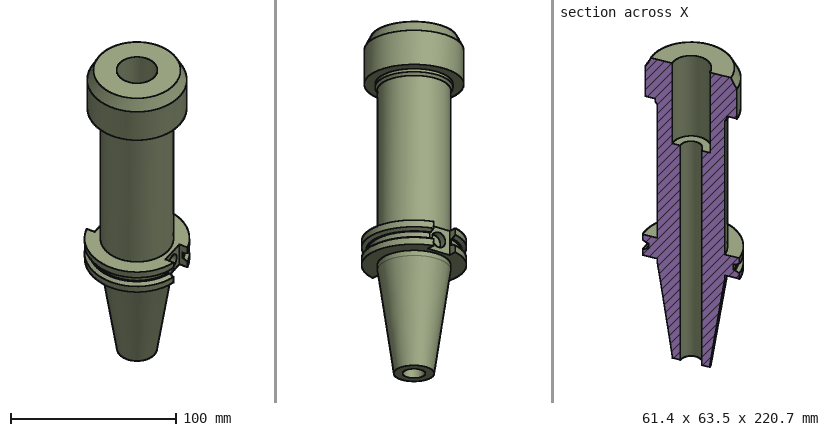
import cadquery as cq
import math


GAUGE_RADIUS = 44.45 / 2
TAPER_LENGTH = 68.25
TAPER_RATIO = 7 / 24
TAPER_TIP_RADIUS = GAUGE_RADIUS - TAPER_LENGTH * TAPER_RATIO / 2

FLANGE_RADIUS = 63.5 / 2
FLANGE_BOTTOM = 3.175
FLANGE_TOP = 19.05
FLANGE_MIDDLE = (FLANGE_BOTTOM + FLANGE_TOP) / 2
GROOVE_FLOOR_RADIUS = 28.05
GROOVE_FLOOR_WIDTH = 3.88
GROOVE_STEP = 1.0
GROOVE_FLANK_ANGLE = 30.0
GROOVE_FLANK_RADIUS = GROOVE_FLOOR_RADIUS + GROOVE_STEP
GROOVE_FLANK_RISE = (FLANGE_RADIUS - GROOVE_FLANK_RADIUS) * math.tan(math.radians(GROOVE_FLANK_ANGLE))
GROOVE_MOUTH_WIDTH = GROOVE_FLOOR_WIDTH + 2 * GROOVE_FLANK_RISE

SLOT_WIDTH = 16.38
SLOT_FLOOR_X = 25.0
DRIVE_HOLE_DIAMETER = 9.8
DRIVE_HOLE_DEPTH = 5.0

NOSE_TOP = 152.4
BODY_RADIUS = GAUGE_RADIUS
NUT_RADIUS = 30.15
NUT_HEIGHT = 30.0
NUT_TOP_RADIUS = 26.3
NUT_CHAMFER_HEIGHT = 7.5
NUT_BOTTOM = NOSE_TOP - NUT_HEIGHT
COLLAR_RADIUS = 23.6
COLLAR_HEIGHT = 2.0
COLLAR_CONE_HEIGHT = 1.9
COLLAR_BOTTOM = NUT_BOTTOM - COLLAR_HEIGHT

COLLET_BORE_DIAMETER = 24.6
COLLET_BORE_DEPTH = 60.0
THROUGH_BORE_DIAMETER = 13.8


def make_turned_body():
    """Revolve the outer half profile of taper, flange, body, collar and nut."""
    half_floor = GROOVE_FLOOR_WIDTH / 2
    half_mouth = GROOVE_MOUTH_WIDTH / 2
    profile = [
        (0, -TAPER_LENGTH),
        (TAPER_TIP_RADIUS, -TAPER_LENGTH),
        (GAUGE_RADIUS, 0),
        (GAUGE_RADIUS, FLANGE_BOTTOM),
        (FLANGE_RADIUS, FLANGE_BOTTOM),
        (FLANGE_RADIUS, FLANGE_MIDDLE - half_mouth),
        (GROOVE_FLANK_RADIUS, FLANGE_MIDDLE - half_floor),
        (GROOVE_FLOOR_RADIUS, FLANGE_MIDDLE - half_floor),
        (GROOVE_FLOOR_RADIUS, FLANGE_MIDDLE + half_floor),
        (GROOVE_FLANK_RADIUS, FLANGE_MIDDLE + half_floor),
        (FLANGE_RADIUS, FLANGE_MIDDLE + half_mouth),
        (FLANGE_RADIUS, FLANGE_TOP),
        (BODY_RADIUS, FLANGE_TOP),
        (BODY_RADIUS, COLLAR_BOTTOM - COLLAR_CONE_HEIGHT),
        (COLLAR_RADIUS, COLLAR_BOTTOM),
        (COLLAR_RADIUS, NUT_BOTTOM),
        (NUT_RADIUS, NUT_BOTTOM),
        (NUT_RADIUS, NOSE_TOP - NUT_CHAMFER_HEIGHT),
        (NUT_TOP_RADIUS, NOSE_TOP),
        (0, NOSE_TOP),
    ]
    return cq.Workplane("XZ").polyline(profile).close().revolve(360, (0, 0), (0, 1))


def make_bores():
    """Through bore along the axis, widened to the collet bore at the nose."""
    through = (
        cq.Workplane("XY", origin=(0, 0, -TAPER_LENGTH))
        .circle(THROUGH_BORE_DIAMETER / 2)
        .extrude(TAPER_LENGTH + NOSE_TOP)
    )
    collet = (
        cq.Workplane("XY", origin=(0, 0, NOSE_TOP - COLLET_BORE_DEPTH))
        .circle(COLLET_BORE_DIAMETER / 2)
        .extrude(COLLET_BORE_DEPTH)
    )
    return through.union(collet)


def make_drive_slot(side):
    """Slot across the flange rim with a blind hole in its floor; side is +1 or -1 along X."""
    floor_plane = cq.Workplane("YZ", origin=(side * SLOT_FLOOR_X, 0, FLANGE_MIDDLE))
    slot = floor_plane.rect(SLOT_WIDTH, FLANGE_TOP - FLANGE_BOTTOM).extrude(
        side * (FLANGE_RADIUS - SLOT_FLOOR_X)
    )
    hole = floor_plane.circle(DRIVE_HOLE_DIAMETER / 2).extrude(-side * DRIVE_HOLE_DEPTH)
    return slot.union(hole)


result = make_turned_body().cut(make_bores())
for slot_side in (-1, 1):
    result = result.cut(make_drive_slot(slot_side))